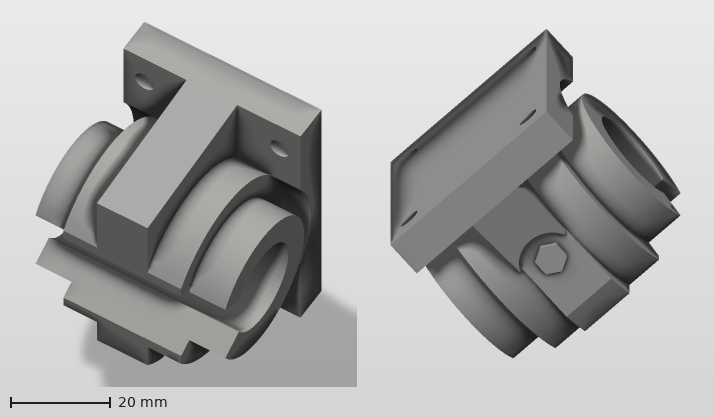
import cadquery as cq
import math

plate_width = 42.0
plate_height = 60.0
plate_thickness = 8.0
overall_depth = 42.0
axis_to_back = 25.0

bore_radius = 10.0
sleeve_radius = 16.0
sleeve_length = 45.0
hub_radius = 21.0
hub_length = 27.9
opening_half_angle = math.radians(30)

rib_width = 12.0
rib_front_top = 27.0
rib_lower_radius = 25.0

seat_radius = 6.5
seat_depth_from_axis = 22.25
nut_across_flats = 5.7
nut_height = 1.85

hole_diameter = 4.5
hole_spacing_x = 32.0
hole_spacing_z = 45.0

front_y = axis_to_back - overall_depth
plate_front_y = axis_to_back - plate_thickness
half_height = plate_height / 2


def x_cylinder(radius, length):
    """Cylinder on the bore axis, centred in X."""
    return cq.Workplane("YZ").circle(radius).extrude(length / 2, both=True)


def lower_arc_point(angle):
    """Point of the lower rib arc, as (Y, Z)."""
    return (rib_lower_radius * math.cos(angle), rib_lower_radius * math.sin(angle))


def make_plate():
    plate = cq.Workplane("XY").box(plate_width, plate_thickness, plate_height)
    plate = (
        plate.faces("<Y").workplane()
        .rarray(hole_spacing_x, hole_spacing_z, 2, 2)
        .hole(hole_diameter)
        .translate((0, plate_front_y + plate_thickness / 2, 0))
    )
    return plate.cut(x_cylinder(hub_radius, plate_width))


def make_rib():
    corner_distance = math.hypot(plate_front_y, half_height)
    corner_angle = math.atan2(-half_height, plate_front_y)
    tangent_angle = corner_angle - math.acos(rib_lower_radius / corner_distance)
    front_angle = -math.acos(front_y / rib_lower_radius)
    middle_angle = (tangent_angle + front_angle) / 2
    return (
        cq.Workplane("YZ")
        .moveTo(plate_front_y, half_height)
        .lineTo(front_y, rib_front_top)
        .lineTo(*lower_arc_point(front_angle))
        .threePointArc(lower_arc_point(middle_angle), lower_arc_point(tangent_angle))
        .lineTo(plate_front_y, -half_height)
        .close()
        .extrude(rib_width / 2, both=True)
    )


def make_nut_seat():
    """Cutter for the flat under the rib: round at the back, open at the front."""
    seat_height = half_height - seat_depth_from_axis
    base = cq.Workplane("XY", origin=(0, 0, -half_height))
    round_end = base.circle(seat_radius).extrude(seat_height)
    open_front = base.center(0, front_y / 2).rect(2 * seat_radius, -front_y).extrude(seat_height)
    return round_end.union(open_front)


def make_nut():
    across_corners = nut_across_flats / math.cos(math.pi / 6)
    return (
        cq.Workplane("XY", origin=(0, 0, -seat_depth_from_axis))
        .transformed(rotate=(0, 0, 90))
        .polygon(6, across_corners)
        .extrude(-nut_height)
    )


def make_hub():
    hub = x_cylinder(hub_radius, hub_length)
    front_limit = cq.Workplane("XY").box(hub_length, 2 * overall_depth, plate_height)
    return hub.intersect(front_limit.translate((0, front_y + overall_depth, 0)))


def make_opening():
    """Wedge cutter whose apex lies on the bore axis."""
    wedge_half_height = -front_y * math.tan(opening_half_angle)
    return (
        cq.Workplane("YZ")
        .polyline([(0, 0), (front_y, wedge_half_height), (front_y, -wedge_half_height)])
        .close()
        .extrude(sleeve_length / 2, both=True)
    )


result = (
    make_plate()
    .union(make_rib().cut(make_nut_seat()))
    .union(make_hub())
    .union(x_cylinder(sleeve_radius, sleeve_length))
    .union(make_nut())
    .cut(x_cylinder(bore_radius, sleeve_length))
    .cut(make_opening())
)